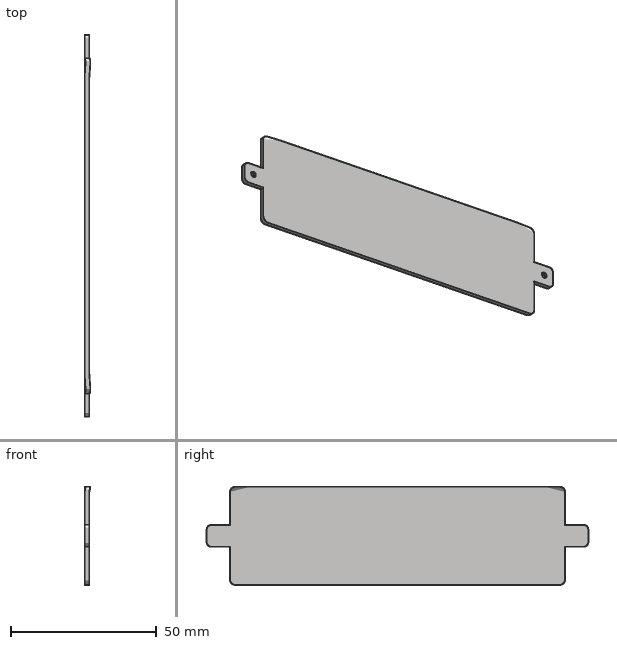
import cadquery as cq
import math

thickness = 1.65
height = 33.8
body_length = 115.2
body_corner_radius = 2.0

tab_reach = 8.0
tab_height = 7.6
tab_corner_radius = 1.75
hole_diameter = 2.0
hole_depth = 1.0
hole_inset = 3.8

overall_depth = 2.02
fold_length = 7.3
fold_drop = 1.8

half_length = body_length / 2
total_length = body_length + 2 * tab_reach
half_height = height / 2

fold_slope = math.atan2(fold_drop, fold_length)
arc_centre_reach = (
    (fold_length - body_corner_radius) * math.sin(fold_slope)
    - body_corner_radius * math.cos(fold_slope)
)
corner_reach = arc_centre_reach + body_corner_radius
bend_rise = (overall_depth - thickness) / corner_reach
wedge_reach = 2 * corner_reach


def slab(length, tall, radius, depth):
    """Upright rounded rectangle from X = 0 to X = depth, centred on Y and Z."""
    block = cq.Workplane("XY").box(depth, length, tall, centered=(False, True, True))
    return block.edges("|X").fillet(radius)


def flat_plate():
    """Plain plate with both tabs, before its corners are bent."""
    body = slab(body_length, height, body_corner_radius, thickness)
    tabs = slab(total_length, tab_height, tab_corner_radius, thickness)
    hole_offset = total_length / 2 - hole_inset
    holes = (
        cq.Workplane("YZ")
        .pushPoints([(-hole_offset, 0), (hole_offset, 0)])
        .circle(hole_diameter / 2)
        .extrude(hole_depth)
    )
    return body.union(tabs).cut(holes)


def fold_prism(side, front_rise, back_x):
    """Prism along one fold line, reaching outwards over the corner from the line.

    Its front starts at X = 0 and its back at X = back_x; both lean towards +X by
    front_rise for each millimetre away from the line.
    """
    outward = cq.Vector(0, side * math.sin(fold_slope), math.cos(fold_slope))
    along = outward.cross(cq.Vector(1, 0, 0))
    start = cq.Vector(0, side * (half_length - fold_length), half_height)
    lean = wedge_reach * front_rise
    profile = [(0, 0), (wedge_reach, lean), (wedge_reach, back_x + lean), (0, back_x)]
    plane = cq.Plane(origin=start, xDir=outward, normal=along)
    return cq.Workplane(plane).polyline(profile).close().extrude(2 * fold_length, both=True)


def bend_corner(plate, side):
    """Replace one upper corner by a leaning one that keeps the rounded outline."""
    outline = slab(body_length, height, body_corner_radius, overall_depth)
    bent = outline.intersect(fold_prism(side, bend_rise, thickness))
    return plate.cut(fold_prism(side, 0, thickness)).union(bent)


result = flat_plate()
for side in (-1, 1):
    result = bend_corner(result, side)